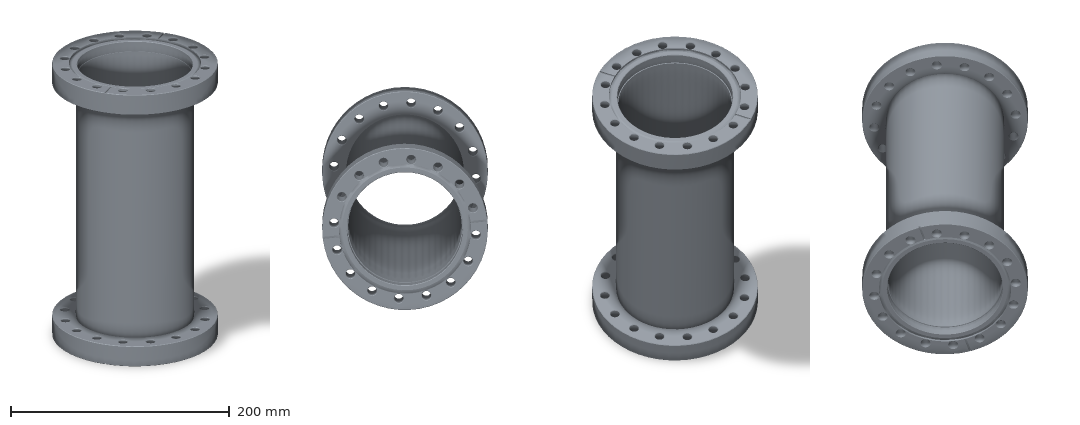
import cadquery as cq

total_length = 269.8
flange_diameter = 151.5
flange_thickness = 20.0

tube_outer_diameter = 108.0
tube_bore_diameter = 104.1

flange_bore_diameter = 105.8
tube_seat_depth = 11.0
weld_relief_diameter = 110.0
weld_relief_depth = 1.3

recess_diameter = 121.0
recess_depth = 1.0
knife_diameter = 115.0
knife_root_depth = 2.2

edge_chamfer = 0.49

bolt_count = 16
bolt_circle_diameter = 130.3
bolt_hole_diameter = 8.4
bolt_pitch_angle = 360 / bolt_count

groove_angle = 119.5
groove_width = 2.0
groove_depth = 1.0
groove_overrun = 2.7


def flange_body():
    """Ring revolved about Z, with its sealing face on z = 0 and its back below."""
    bore_radius = flange_bore_diameter / 2
    seat_radius = tube_outer_diameter / 2
    relief_radius = weld_relief_diameter / 2
    relief_z = weld_relief_depth - flange_thickness
    recess_radius = recess_diameter / 2
    rim_radius = flange_diameter / 2
    return (
        cq.Workplane("XZ")
        .moveTo(bore_radius, -recess_depth - edge_chamfer)
        .lineTo(bore_radius + edge_chamfer, -recess_depth)
        .lineTo(knife_diameter / 2, -recess_depth)
        .lineTo(recess_radius, -knife_root_depth)
        .lineTo(recess_radius, 0)
        .lineTo(rim_radius - edge_chamfer, 0)
        .lineTo(rim_radius, -edge_chamfer)
        .lineTo(rim_radius, edge_chamfer - flange_thickness)
        .lineTo(rim_radius - edge_chamfer, -flange_thickness)
        .lineTo(relief_radius, -flange_thickness)
        .lineTo(relief_radius, relief_z)
        .lineTo(seat_radius, relief_z)
        .lineTo(seat_radius, -tube_seat_depth)
        .lineTo(bore_radius, -tube_seat_depth)
        .close()
        .revolve(360, (0, 0, 0), (0, 1, 0))
    )


def bolt_hole():
    """Cutter for one through hole on the Z axis, widened by a chamfer at both ends."""
    radius = bolt_hole_diameter / 2
    mouth_radius = radius + edge_chamfer
    return (
        cq.Workplane("XZ")
        .moveTo(0, 0)
        .lineTo(mouth_radius, 0)
        .lineTo(radius, -edge_chamfer)
        .lineTo(radius, edge_chamfer - flange_thickness)
        .lineTo(mouth_radius, -flange_thickness)
        .lineTo(0, -flange_thickness)
        .close()
        .revolve(360, (0, 0, 0), (0, 1, 0))
    )


def bolt_holes():
    """Hole cutters, placed so that the leak grooves fall midway between two of them."""
    cutter = bolt_hole().val()
    first_angle = groove_angle + bolt_pitch_angle / 2
    return (
        cq.Workplane("XY")
        .polarArray(bolt_circle_diameter / 2, first_angle, 360, bolt_count)
        .eachpoint(lambda place: cutter.moved(place))
    )


def leak_grooves():
    """Two opposite shallow grooves from the recess out to the rim."""
    recess_radius = recess_diameter / 2
    length = flange_diameter / 2 - recess_radius + groove_overrun
    return (
        cq.Workplane("XY")
        .polarArray(recess_radius + length / 2, groove_angle, 360, 2)
        .rect(length, groove_width)
        .extrude(-groove_depth)
    )


def make_flange():
    """Finished flange in its own frame, with its sealing face up on z = 0."""
    return flange_body().cut(bolt_holes()).cut(leak_grooves())


def make_tube():
    """Plain tube on the Z axis, reaching from seat to seat."""
    return (
        cq.Workplane("XY")
        .workplane(offset=tube_seat_depth)
        .circle(tube_outer_diameter / 2)
        .circle(tube_bore_diameter / 2)
        .extrude(total_length - 2 * tube_seat_depth)
    )


def make_flanges():
    """Upper flange facing up at the top, and its mirror image facing down at z = 0."""
    flange = make_flange()
    return [flange.translate((0, 0, total_length)), flange.mirror("XY")]


tube = make_tube()
flanges = make_flanges()
result = cq.Compound.makeCompound([tube.val(), *[flange.val() for flange in flanges]])